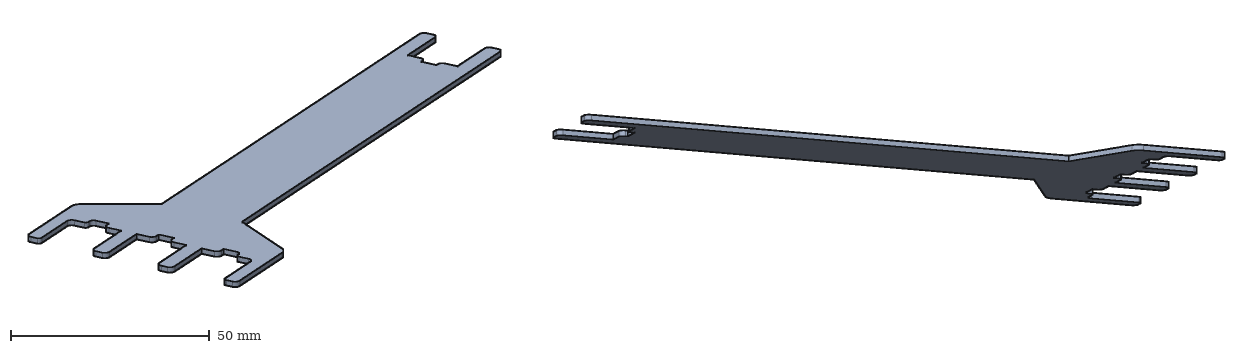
import cadquery as cq
import math

length = 166.0
head_width = 61.3
thickness = 1.5

shank_width = 23.4
shoulder_y = 35.2
flare_angle = 30.0
head_corner_radius = 3.0

inner_tine_width = 4.5
outer_tine_width = 4.0
fork_gap_depth = 15.0
end_gap_depth = 15.0

notch_width = 4.5
outer_notch_width = 5.0
fork_notch_depth = 2.5
end_notch_depth = 2.0

tip_radius = 1.3
inner_tip_radius = 0.8
lip_radius = 1.3
outer_lip_radius = 0.8
gap_corner_radius = 1.3
notch_corner_radius = 1.2

half_head = head_width / 2
half_shank = shank_width / 2
central_gap_width = shank_width - 2 * inner_tine_width
outer_gap_width = half_head - outer_tine_width - half_shank
outer_gap_x = half_shank + outer_gap_width / 2
flare_bottom_y = shoulder_y - (half_head - half_shank) * math.tan(math.radians(flare_angle))


def round_corner(plate, x, y, radius):
    """Fillet the plate's vertical edge that stands at (x, y)."""
    size = 0.2
    corner = cq.selectors.BoxSelector(
        (x - size, y - size, -thickness), (x + size, y + size, thickness)
    )
    return plate.edges("|Z").edges(corner).fillet(radius)


def round_pair(plate, x, y, radius):
    """Fillet the two mirrored corners at +x and -x."""
    for side in (-1, 1):
        plate = round_corner(plate, side * x, y, radius)
    return plate


def cut_gap(plate, x, mouth_y, inward, gap, notch):
    """Cut a gap and its floor notch; gap and notch are (width, depth) pairs."""
    notch_total_depth = gap[1] + notch[1]
    for width, depth in (gap, (notch[0], notch_total_depth)):
        cutter = cq.Workplane("XY").box(width, depth, 2 * thickness)
        plate = plate.cut(cutter.translate((x, mouth_y + inward * depth / 2, 0)))
    return plate


outline = [
    (-half_head, 0),
    (half_head, 0),
    (half_head, flare_bottom_y),
    (half_shank, shoulder_y),
    (half_shank, length),
    (-half_shank, length),
    (-half_shank, shoulder_y),
    (-half_head, flare_bottom_y),
]
plate = cq.Workplane("XY").polyline(outline).close().extrude(thickness / 2, both=True)
plate = round_pair(plate, half_head, flare_bottom_y, head_corner_radius)

fork_notch = (notch_width, fork_notch_depth)
outer_notch = (outer_notch_width, fork_notch_depth)
end_notch = (notch_width, end_notch_depth)
plate = cut_gap(plate, 0, 0, 1, (central_gap_width, fork_gap_depth), fork_notch)
plate = cut_gap(plate, 0, length, -1, (central_gap_width, end_gap_depth), end_notch)
for side in (-1, 1):
    outer_gap = (outer_gap_width, fork_gap_depth)
    plate = cut_gap(plate, side * outer_gap_x, 0, 1, outer_gap, outer_notch)

for x in (central_gap_width / 2, half_shank):
    plate = round_pair(plate, x, 0, tip_radius)
    plate = round_pair(plate, x, length, tip_radius)
plate = round_pair(plate, half_head, 0, tip_radius)
plate = round_pair(plate, half_head - outer_tine_width, 0, inner_tip_radius)

plate = round_pair(plate, notch_width / 2, fork_gap_depth, lip_radius)
plate = round_pair(plate, notch_width / 2, length - end_gap_depth, lip_radius)
notch_inner_x = outer_gap_x - outer_notch_width / 2
notch_outer_x = outer_gap_x + outer_notch_width / 2
plate = round_pair(plate, notch_inner_x, fork_gap_depth, lip_radius)
plate = round_pair(plate, notch_outer_x, fork_gap_depth, outer_lip_radius)

plate = round_pair(plate, half_head - outer_tine_width, fork_gap_depth, gap_corner_radius)
plate = round_pair(plate, notch_outer_x, fork_gap_depth + fork_notch_depth, notch_corner_radius)

result = plate.translate((0, -length / 2, 0))